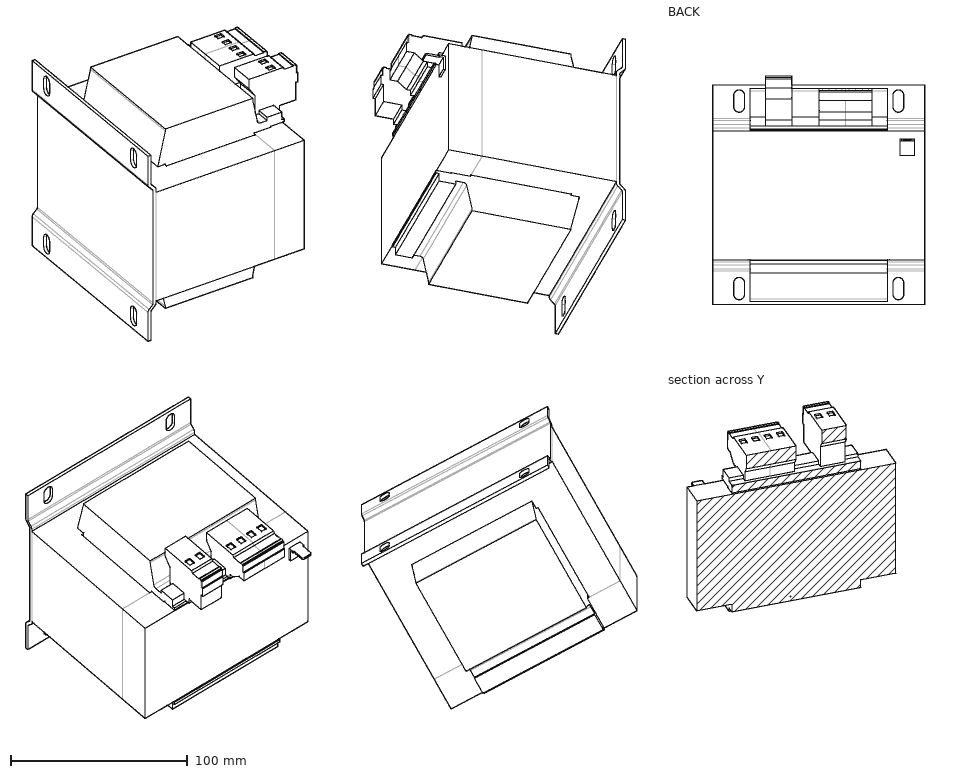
import cadquery as cq


WIDTH = 120.0
PLATE_HALF_HEIGHT = 62.1
PLATE_THICKNESS = 2.0
PLATE_OFFSET = 3.5
FLANGE_START = 41.6
INNER_BEND_RADIUS = 1.4
OUTER_BEND_RADIUS = 2.5
SLOT_WIDTH = 6.0
SLOT_LENGTH = 12.5
SLOT_SPACING_X = 90.0
SLOT_SPACING_Z = 106.0

CORE_HEIGHT = 72.9
CORE_CENTER_Z = -0.35
CORE_Z_RANGE = (CORE_CENTER_Z - CORE_HEIGHT / 2, CORE_CENTER_Z + CORE_HEIGHT / 2)
CORE_FRONT = PLATE_OFFSET + PLATE_THICKNESS
YOKE = 20.0
WINDOW_LENGTH = 60.0
CENTER_LEG = 40.0
WINDOW_WIDTH = 20.0
WINDOW_FRONT = CORE_FRONT + YOKE
WINDOW_BACK = WINDOW_FRONT + WINDOW_LENGTH
CORE_BACK = WINDOW_BACK + YOKE

COIL_WIDTH = 77.6
COIL_TOP = 60.2
COIL_EDGE = 1.4
COIL_BACK = WINDOW_BACK - 1.0
COIL_FOOT_FRONT = 20.4
COIL_FOOT_BACK = 88.0
FLANGE_UNDERSIDE = 36.6
TROUGH_FLOOR = 41.9
TROUGH_BACK = 94.2
TROUGH_RADIUS = 2.0
RAIL_TOP = 44.1
RAIL_BACK = 104.2
TAB_BACK = 105.9
TAB_TOP = 39.0
TAB_UNDERSIDE = 37.2
TAB_FRONT = 96.9

BLOCK_WIDTH = 15.0
LOW_BLOCK_STARTS = (-30.2, -15.2)
HIGH_BLOCK_START = 15.2
LOW_BLOCK_TOP = 60.0
HIGH_BLOCK_TOP = 67.2
BLOCK_FRONT = 87.5
BLOCK_FACE_HEIGHT = 6.3
STEM_FRONT = 91.6
CHIN_DROP = 12.2
TOP_STEP_START = 110.7
TOP_STEP_END = 111.5
TOP_STEP_DEPTH = 1.5
LIP_FRONT = 117.4
LIP_BACK = 119.2
LIP_DROP = 1.0
BAR_BACK = 119.9
BAR_DROP = 1.8
SKIRT_BACK = 120.6
SKIRT_TOP_DROP = 6.8
SKIRT_BOTTOM_DROP = 13.1
SLOPE_BACK = 116.0
SHOULDER_BACK = 110.7
SHOULDER_Z = 42.4
STEM_BACK = 108.3
ENTRY_WIDTH = 3.5
ENTRY_LENGTH = 4.3
ENTRY_DEPTH = 1.0
ENTRY_SPACING = 7.5
ENTRY_CENTER_Y = 104.6

EARTH_X = -50.0
EARTH_THICKNESS = 1.2
EARTH_TOP = 31.5
EARTH_BOTTOM = 22.2
EARTH_BASE_WIDTH = 8.0
EARTH_BASE_END = 109.0
EARTH_BLADE_WIDTH = 6.5
EARTH_BLADE_END = 117.1
EARTH_CORNER = 1.0
EARTH_TIP = 0.4


def box(x_range, y_range, z_range):
    """Box between the given limits."""
    limits = (x_range, y_range, z_range)
    size = [high - low for low, high in limits]
    corner = tuple(low for low, high in limits)
    return cq.Workplane("XY").box(*size, centered=False).translate(corner)


def extrude_profile(points, x_start, width):
    """Extrude a (Y, Z) outline along +X."""
    return cq.Workplane("YZ", origin=(x_start, 0, 0)).polyline(points).close().extrude(width)


def bend_edges(plate, bends):
    """Edges along X that pass through the given (Y, Z) places, above and below mid-height."""
    tolerance = 0.01
    edges = plate.edges("|X")
    picked = []
    for edge in edges.vals():
        center = edge.Center()
        for y, z in bends:
            if abs(center.y - y) < tolerance and abs(abs(center.z) - z) < tolerance:
                picked.append(edge)
    return edges.newObject(picked)


def mounting_plate():
    """Sheet with two stepped, slotted flanges joined by 45 degree bends."""
    miter = PLATE_THICKNESS * (2 ** 0.5 - 1)
    web_end = FLANGE_START - PLATE_OFFSET
    flange_outer = (0, FLANGE_START)
    flange_inner = (PLATE_THICKNESS, FLANGE_START + miter)
    web_outer = (PLATE_OFFSET, web_end)
    web_inner = (CORE_FRONT, web_end + miter)
    upper = [
        web_outer,
        flange_outer,
        (0, PLATE_HALF_HEIGHT),
        (PLATE_THICKNESS, PLATE_HALF_HEIGHT),
        flange_inner,
        web_inner,
    ]
    lower = [(y, -z) for y, z in reversed(upper)]
    plate = extrude_profile(upper + lower, -WIDTH / 2, WIDTH)
    plate = bend_edges(plate, [flange_outer, web_inner]).fillet(OUTER_BEND_RADIUS)
    plate = bend_edges(plate, [flange_inner, web_outer]).fillet(INNER_BEND_RADIUS)
    slots = (
        cq.Workplane("XZ")
        .rarray(SLOT_SPACING_X, SLOT_SPACING_Z, 2, 2)
        .slot2D(SLOT_LENGTH, SLOT_WIDTH, 90)
        .extrude(-PLATE_THICKNESS)
    )
    return plate.cut(slots)


def core_parts():
    """E stack with two coil windows, and the I stack that closes it."""
    half = WIDTH / 2
    e_stack = box((-half, half), (CORE_FRONT, WINDOW_BACK), CORE_Z_RANGE)
    i_stack = box((-half, half), (WINDOW_BACK, CORE_BACK), CORE_Z_RANGE)
    inner = CENTER_LEG / 2
    outer = inner + WINDOW_WIDTH
    for x_range in ((-outer, -inner), (inner, outer)):
        e_stack = e_stack.cut(box(x_range, (WINDOW_FRONT, WINDOW_BACK), CORE_Z_RANGE))
    return [e_stack, i_stack]


def coil_head():
    """Winding and bobbin above the core, with the trough and terminal rail behind it."""
    points = [
        (COIL_FOOT_FRONT, FLANGE_UNDERSIDE),
        (WINDOW_FRONT, COIL_TOP - COIL_EDGE),
        (WINDOW_FRONT, COIL_TOP),
        (COIL_BACK, COIL_TOP),
        (COIL_BACK, COIL_TOP - COIL_EDGE),
        (COIL_FOOT_BACK, TROUGH_FLOOR),
        (TROUGH_BACK, TROUGH_FLOOR),
        (TROUGH_BACK, RAIL_TOP),
        (RAIL_BACK, RAIL_TOP),
        (RAIL_BACK, TAB_TOP),
        (TAB_BACK, TAB_TOP),
        (TAB_BACK, TAB_UNDERSIDE),
        (TAB_FRONT, TAB_UNDERSIDE),
        (TAB_FRONT, FLANGE_UNDERSIDE),
    ]
    head = extrude_profile(points, -COIL_WIDTH / 2, COIL_WIDTH)
    trough_edge = cq.selectors.NearestToPointSelector((0, COIL_FOOT_BACK, TROUGH_FLOOR))
    return head.edges("|X").edges(trough_edge).fillet(TROUGH_RADIUS)


def coil():
    """Both coil heads joined by the winding that runs through the core windows."""
    upper = coil_head()
    winding = box(
        (-COIL_WIDTH / 2, COIL_WIDTH / 2),
        (WINDOW_FRONT, WINDOW_BACK),
        (-FLANGE_UNDERSIDE, FLANGE_UNDERSIDE),
    )
    leg = box((-CENTER_LEG / 2, CENTER_LEG / 2), (WINDOW_FRONT, WINDOW_BACK), CORE_Z_RANGE)
    return upper.union(upper.mirror("XY")).union(winding.cut(leg))


def terminal_block(x_start, top, chin_outline):
    """One two-way terminal block; chin_outline runs from the skirt down to the shoulder."""
    face_bottom = top - BLOCK_FACE_HEIGHT
    points = [
        (BLOCK_FRONT, top),
        (TOP_STEP_START, top),
        (TOP_STEP_END, top - TOP_STEP_DEPTH),
        (LIP_FRONT, top - TOP_STEP_DEPTH),
        (LIP_FRONT, top - LIP_DROP),
        (LIP_BACK, top - LIP_DROP),
        (LIP_BACK, top - SKIRT_TOP_DROP),
        (SKIRT_BACK, top - SKIRT_TOP_DROP),
        (SKIRT_BACK, top - SKIRT_BOTTOM_DROP),
        *chin_outline,
        (STEM_BACK, SHOULDER_Z),
        (STEM_BACK, TAB_TOP),
        (STEM_FRONT, TAB_TOP),
        (STEM_FRONT, top - CHIN_DROP),
        (BLOCK_FRONT, face_bottom),
    ]
    block = extrude_profile(points, x_start, BLOCK_WIDTH)
    entries = (
        cq.Workplane("XY", origin=(x_start + BLOCK_WIDTH / 2, ENTRY_CENTER_Y, top - ENTRY_DEPTH))
        .rarray(ENTRY_SPACING, 1, 2, 1)
        .rect(ENTRY_WIDTH, ENTRY_LENGTH)
        .extrude(ENTRY_DEPTH)
    )
    return block.cut(entries)


def back_bar(x_start, width, top):
    """Marking strip along the back of a row of terminal blocks, resting on their skirts."""
    return box(
        (x_start, x_start + width),
        (LIP_BACK, BAR_BACK),
        (top - SKIRT_TOP_DROP, top - BAR_DROP),
    )


def terminal_parts():
    """Two low blocks side by side and one high block, each row with its back bar."""
    low_skirt_bottom = LOW_BLOCK_TOP - SKIRT_BOTTOM_DROP
    sloped = [
        (SLOPE_BACK, low_skirt_bottom),
        (SHOULDER_BACK, SHOULDER_Z),
    ]
    square = [
        (LIP_BACK, HIGH_BLOCK_TOP - SKIRT_BOTTOM_DROP),
        (LIP_BACK, SHOULDER_Z),
    ]
    parts = [terminal_block(x, LOW_BLOCK_TOP, sloped) for x in LOW_BLOCK_STARTS]
    parts.append(terminal_block(HIGH_BLOCK_START, HIGH_BLOCK_TOP, square))
    low_row_width = BLOCK_WIDTH * len(LOW_BLOCK_STARTS)
    parts.append(back_bar(LOW_BLOCK_STARTS[0], low_row_width, LOW_BLOCK_TOP))
    parts.append(back_bar(HIGH_BLOCK_START, BLOCK_WIDTH, HIGH_BLOCK_TOP))
    return parts


def earth_tab():
    """Bent spade terminal on the back of the core."""
    half_base = EARTH_BASE_WIDTH / 2
    x_range = (EARTH_X - half_base, EARTH_X + half_base)
    foot_back = CORE_BACK + EARTH_THICKNESS
    blade_bottom = EARTH_TOP - EARTH_THICKNESS
    foot = box(x_range, (CORE_BACK, foot_back), (EARTH_BOTTOM, EARTH_TOP))
    base = box(x_range, (CORE_BACK, EARTH_BASE_END), (blade_bottom, EARTH_TOP))
    half_blade = EARTH_BLADE_WIDTH / 2
    blade = box(
        (EARTH_X - half_blade, EARTH_X + half_blade),
        (CORE_BACK, EARTH_BLADE_END),
        (blade_bottom, EARTH_TOP),
    )
    blade = blade.edges("|Z and >Y").chamfer(EARTH_CORNER)
    blade = blade.faces(">Y").edges("|X").chamfer(EARTH_TIP)
    return foot.union(base).union(blade)


result = mounting_plate()
for piece in [*core_parts(), coil(), *terminal_parts(), earth_tab()]:
    result = result.union(piece, clean=False)